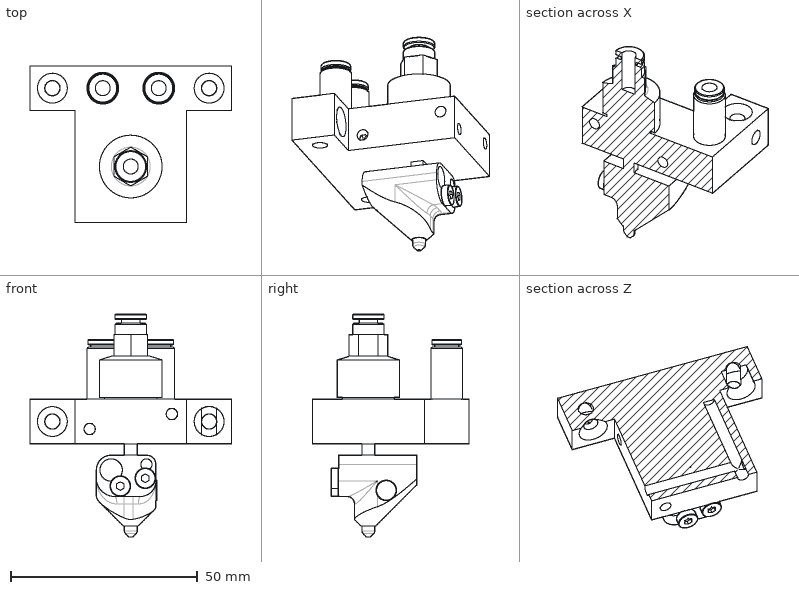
import cadquery as cq
import math


PLATE_THICKNESS = 12.0
PLATE_BACK = 27.0
PLATE_FRONT = -15.0
BODY_WIDTH = 30.0
FLANGE_WIDTH = 54.0
FLANGE_DEPTH = 12.0
FLANGE_FRONT = PLATE_BACK - FLANGE_DEPTH
FLANGE_MID_Y = PLATE_BACK - FLANGE_DEPTH / 2
EAR_X = (FLANGE_WIDTH + BODY_WIDTH) / 4
EAR_HOLE_DIAMETER = 4.0
EAR_HEAD_DIAMETER = 8.0
COUNTERBORE_DEPTH = FLANGE_DEPTH / 2

CHANNEL_DIAMETER = 3.0
CHANNEL_OFFSET = 11.0
CHANNEL_LOW_Z = 4.0
CHANNEL_HIGH_Z = 8.0
CHANNEL_LENGTH = CHANNEL_OFFSET - PLATE_FRONT + CHANNEL_DIAMETER / 2

TUBE_BORE_DIAMETER = 4.0
TUBE_BORE_DEPTH = 12.0
FITTING_DIAMETER = 8.5
FITTING_CHAMFER = 0.4
COLLAR_CHAMFER = 0.25

COOLANT_X = 7.5
COOLANT_BODY_TOP = PLATE_THICKNESS + 14.0
COOLANT_NECK_DIAMETER = 6.5
COOLANT_COLLAR_DIAMETER = 8.0
COOLANT_COLLAR_BOTTOM = COOLANT_BODY_TOP + 0.5
COOLANT_TOP = PLATE_THICKNESS + 16.0

SEAT_DIAMETER = 14.0
SEAT_TOP = PLATE_THICKNESS + 0.5
CAP_DIAMETER = 16.8
CAP_RIM_Z = SEAT_TOP + 10.0
CAP_TOP = 23.5
HEX_ACROSS_FLATS = 9.0
HEX_ACROSS_CORNERS = HEX_ACROSS_FLATS / math.cos(math.pi / 6)
HEX_TOP = 29.3
FILAMENT_BODY_TOP = 32.4
FILAMENT_NECK_DIAMETER = 5.0
FILAMENT_COLLAR_BOTTOM = 33.3
FILAMENT_TOP = 34.8

BLOCK_LEFT = -9.25
BLOCK_RIGHT = 6.75
BLOCK_TOP = -3.0
BLOCK_BOTTOM = -14.1
BLOCK_FRONT = -8.0
BLOCK_BACK = 13.0
TOP_LEFT_RADIUS = 4.0
TOP_RIGHT_RADIUS = 2.5
BOTTOM_LEFT_RADIUS = 5.0
BOTTOM_RIGHT_RADIUS = 4.2
HEAT_BREAK_SIDE = 3.5

COLUMN_FRONT = -3.75
COLUMN_LEFT_RADIUS = 7.5
COLUMN_RIGHT_RADIUS = 6.15
COLUMN_BOTTOM = -22.0
COLUMN_TOP = BLOCK_BOTTOM + BOTTOM_LEFT_RADIUS
CONE_TIP_RADIUS = 2.0
CONE_HEIGHT = BLOCK_TOP - COLUMN_BOTTOM
CORNER_FILLET = 2.0
SELECTION_MARGIN = 0.1

NOZZLE_RADIUS = 1.75
NOZZLE_TIP_RADIUS = 0.5
NOZZLE_TIP_Z = -25.0
NOZZLE_SHOULDER_Z = NOZZLE_TIP_Z + NOZZLE_RADIUS - NOZZLE_TIP_RADIUS
NOZZLE_SHOULDER_FILLET = 1.0

HEATER_X, HEATER_Z = -5.25, -7.0
HEATER_DIAMETER = 6.0
SENSOR_X, SENSOR_Z = 4.2, -5.5
SENSOR_DIAMETER = 3.0
BORE_DEPTH = 18.0
FRONT_SCREWS = [(-2.8, -11.3), (3.9, -9.2)]
SCREW_HEAD_DIAMETER = 5.5
SCREW_HEAD_HEIGHT = 2.0
SCREW_CHAMFER = 0.15
SOCKET_ACROSS_FLATS = 2.0
SOCKET_DEPTH = 1.0
SIDE_SCREW_Y, SIDE_SCREW_Z = 4.8, -12.45
SIDE_SCREW_PROTRUSION = 0.35


def box_between(x0, x1, y0, y1, z0, z1):
    return cq.Workplane("XY").box(x1 - x0, y1 - y0, z1 - z0, centered=False).translate((x0, y0, z0))


def rod(diameter, start, direction, length):
    return cq.Workplane(cq.Solid.makeCylinder(diameter / 2, length, cq.Vector(*start), cq.Vector(*direction)))


def countersunk_hole(start, direction, length):
    """Cutter for a through hole whose 90 degree countersink opens at the start point."""
    hole_radius = EAR_HOLE_DIAMETER / 2
    head_radius = EAR_HEAD_DIAMETER / 2
    sink = cq.Solid.makeCone(
        head_radius, hole_radius, head_radius - hole_radius, cq.Vector(*start), cq.Vector(*direction)
    )
    return rod(EAR_HOLE_DIAMETER, start, direction, length).union(cq.Workplane(sink))


def disc(diameter, z0, z1):
    return rod(diameter, (0, 0, z0), (0, 0, 1), z1 - z0)


def make_plate():
    half_body = BODY_WIDTH / 2
    half_flange = FLANGE_WIDTH / 2
    mid_z = PLATE_THICKNESS / 2
    plate = box_between(-half_body, half_body, PLATE_FRONT, PLATE_BACK, 0, PLATE_THICKNESS)
    flange = box_between(-half_flange, half_flange, FLANGE_FRONT, PLATE_BACK, 0, PLATE_THICKNESS)
    plate = plate.union(flange)

    for x in (-EAR_X, EAR_X):
        plate = plate.cut(countersunk_hole((x, FLANGE_MID_Y, PLATE_THICKNESS), (0, 0, -1), PLATE_THICKNESS))

    left_ear = (-EAR_X, FLANGE_FRONT, mid_z)
    right_ear = (EAR_X, FLANGE_FRONT, mid_z)
    plate = plate.cut(countersunk_hole(left_ear, (0, 1, 0), FLANGE_DEPTH))
    plate = plate.cut(rod(EAR_HOLE_DIAMETER, right_ear, (0, 1, 0), FLANGE_DEPTH))
    return plate.cut(rod(EAR_HEAD_DIAMETER, right_ear, (0, 1, 0), COUNTERBORE_DEPTH))


def make_channels():
    """Cutter for two channels along Y and two along X, crossing in pairs at each level."""
    low, high = CHANNEL_LOW_Z, CHANNEL_HIGH_Z
    offset = CHANNEL_OFFSET
    channels = cq.Workplane("XY")
    for x, z in [(-offset, low), (offset, high)]:
        channels = channels.add(rod(CHANNEL_DIAMETER, (x, PLATE_FRONT, z), (0, 1, 0), CHANNEL_LENGTH))
    for y, z in [(offset, low), (-offset, high)]:
        channels = channels.add(rod(CHANNEL_DIAMETER, (-BODY_WIDTH / 2, y, z), (1, 0, 0), CHANNEL_LENGTH))
    return channels.combine()


def push_in_end(base_z, body_top, neck_diameter, collar_bottom, collar_diameter, top):
    """Chamfered fitting body with a necked release collar on top."""
    body = disc(FITTING_DIAMETER, base_z, body_top).faces(">Z").chamfer(FITTING_CHAMFER)
    neck = disc(neck_diameter, base_z, top)
    collar = disc(collar_diameter, collar_bottom, top).edges().chamfer(COLLAR_CHAMFER)
    bore = disc(TUBE_BORE_DIAMETER, top - TUBE_BORE_DEPTH, top)
    return body.union(neck).union(collar).cut(bore)


def make_coolant_fitting():
    return push_in_end(
        PLATE_THICKNESS, COOLANT_BODY_TOP, COOLANT_NECK_DIAMETER,
        COOLANT_COLLAR_BOTTOM, COOLANT_COLLAR_DIAMETER, COOLANT_TOP,
    )


def make_filament_connector():
    cap_radius = CAP_DIAMETER / 2
    cap = (
        cq.Workplane("XZ")
        .moveTo(0, PLATE_THICKNESS)
        .lineTo(SEAT_DIAMETER / 2, PLATE_THICKNESS)
        .lineTo(SEAT_DIAMETER / 2, SEAT_TOP)
        .lineTo(cap_radius, SEAT_TOP)
        .lineTo(cap_radius, CAP_RIM_Z)
        .lineTo(HEX_ACROSS_CORNERS / 2, CAP_TOP)
        .lineTo(0, CAP_TOP)
        .close()
        .revolve(360, (0, 0, 0), (0, 1, 0))
    )
    hexagon = (
        cq.Workplane("XY", origin=(0, 0, CAP_TOP))
        .transformed(rotate=(0, 0, 90))
        .polygon(6, HEX_ACROSS_CORNERS)
        .extrude(HEX_TOP - CAP_TOP)
    )
    fitting = push_in_end(
        HEX_TOP, FILAMENT_BODY_TOP, FILAMENT_NECK_DIAMETER,
        FILAMENT_COLLAR_BOTTOM, FITTING_DIAMETER, FILAMENT_TOP,
    )
    bore = disc(TUBE_BORE_DIAMETER, FILAMENT_TOP - TUBE_BORE_DEPTH, FILAMENT_TOP)
    return cap.union(hexagon).union(fitting).cut(bore)


def make_heater_block():
    block = box_between(BLOCK_LEFT, BLOCK_RIGHT, BLOCK_FRONT, BLOCK_BACK, BLOCK_BOTTOM, BLOCK_TOP)
    block = block.edges("|Y and >Z and <X").fillet(TOP_LEFT_RADIUS)
    block = block.edges("|Y and >Z and >X").fillet(TOP_RIGHT_RADIUS)
    block = block.edges("|Y and <Z and <X").fillet(BOTTOM_LEFT_RADIUS)
    block = block.edges("|Y and <Z and >X").fillet(BOTTOM_RIGHT_RADIUS)

    column = box_between(BLOCK_LEFT, BLOCK_RIGHT, COLUMN_FRONT, BLOCK_BACK, COLUMN_BOTTOM, COLUMN_TOP)
    column = column.edges("|Z and <Y and <X").fillet(COLUMN_LEFT_RADIUS)
    column = column.edges("|Z and <Y and >X").fillet(COLUMN_RIGHT_RADIUS)
    block = block.union(column)

    inner_corner = cq.selectors.BoxSelector(
        (BLOCK_LEFT, COLUMN_FRONT - SELECTION_MARGIN, BLOCK_BOTTOM - SELECTION_MARGIN),
        (BLOCK_RIGHT, COLUMN_FRONT + COLUMN_LEFT_RADIUS / 2, BLOCK_BOTTOM + BOTTOM_LEFT_RADIUS / 2),
    )
    block = block.edges(inner_corner).fillet(CORNER_FILLET)

    cone = cq.Workplane(
        cq.Solid.makeCone(
            CONE_TIP_RADIUS, CONE_TIP_RADIUS + CONE_HEIGHT, CONE_HEIGHT, cq.Vector(0, 0, COLUMN_BOTTOM)
        )
    )
    block = block.intersect(cone)

    heater_bore = rod(HEATER_DIAMETER, (HEATER_X, BLOCK_FRONT, HEATER_Z), (0, 1, 0), BORE_DEPTH)
    sensor_bore = rod(SENSOR_DIAMETER, (SENSOR_X, BLOCK_FRONT, SENSOR_Z), (0, 1, 0), BORE_DEPTH)
    return block.cut(heater_bore).cut(sensor_bore)


def make_heat_break():
    half = HEAT_BREAK_SIDE / 2
    return box_between(-half, half, -half, half, BLOCK_TOP, 0)


def make_nozzle():
    """Short cylinder running through a rounded shoulder into a 45 degree cone with a flat tip."""
    barrel = disc(2 * NOZZLE_RADIUS, NOZZLE_TIP_Z, COLUMN_BOTTOM)
    barrel = barrel.faces("<Z").chamfer(NOZZLE_SHOULDER_Z - NOZZLE_TIP_Z)
    shoulder = cq.selectors.NearestToPointSelector((0, NOZZLE_RADIUS, NOZZLE_SHOULDER_Z))
    return barrel.edges("%CIRCLE").edges(shoulder).fillet(NOZZLE_SHOULDER_FILLET)


def make_front_screw(x, z):
    head = rod(SCREW_HEAD_DIAMETER, (x, BLOCK_FRONT, z), (0, -1, 0), SCREW_HEAD_HEIGHT)
    head = head.edges().chamfer(SCREW_CHAMFER)
    socket = (
        cq.Workplane("XZ", origin=(x, BLOCK_FRONT - SCREW_HEAD_HEIGHT, z))
        .transformed(rotate=(0, 0, 90))
        .polygon(6, SOCKET_ACROSS_FLATS / math.cos(math.pi / 6))
        .extrude(-SOCKET_DEPTH)
    )
    return head.cut(socket)


def make_side_screw():
    end_x = BLOCK_RIGHT + SIDE_SCREW_PROTRUSION
    start = (end_x - SCREW_HEAD_HEIGHT, SIDE_SCREW_Y, SIDE_SCREW_Z)
    return rod(SCREW_HEAD_DIAMETER, start, (1, 0, 0), SCREW_HEAD_HEIGHT).faces(">X").chamfer(SCREW_CHAMFER)


def make_mount():
    """Mounting plate with its channels, tube fittings and filament connector."""
    mount = make_plate().cut(make_channels()).union(make_filament_connector())
    for x in (-COOLANT_X, COOLANT_X):
        mount = mount.union(make_coolant_fitting().translate((x, FLANGE_MID_Y, 0)))
    return mount


def make_hot_end():
    """Heater block with its heat break, nozzle and screws."""
    hot_end = make_heater_block().union(make_heat_break()).union(make_nozzle()).union(make_side_screw())
    for x, z in FRONT_SCREWS:
        hot_end = hot_end.union(make_front_screw(x, z))
    return hot_end


result = make_mount().union(make_hot_end(), clean=False)